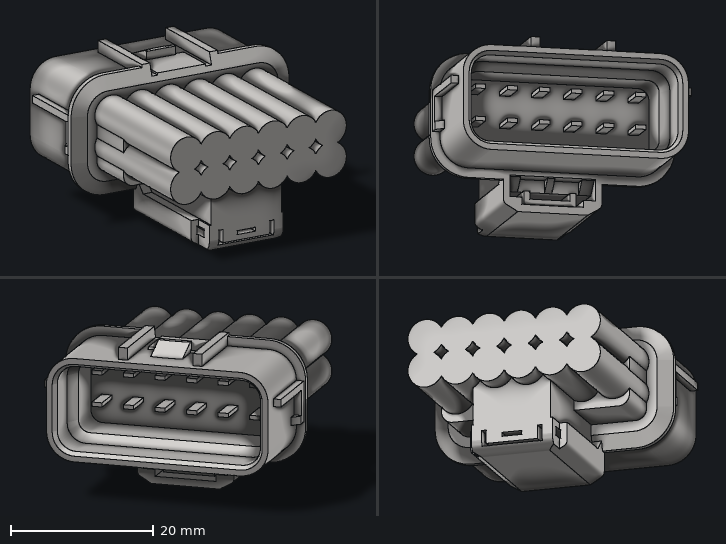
import cadquery as cq
import math

total_length = 35.8
total_height = 22.75
shell_width = 32.7
shell_height = 15.07
shell_radius = 4.1

collar_width = 35.4
collar_offset = (collar_width - shell_width) / 2
collar_front = 13.03
collar_edge = 13.85
collar_rear = 14.6
collar_taper_inset = 2.22

rim_wall = 0.85
cavity_wall = 1.35
cavity_deep_wall = 2.4
lead_in_depth = 0.8
cavity_step_start = 5.35
cavity_step_end = 7.3
cavity_floor = collar_front

columns = 6
column_pitch = 4.65
row_centers = (3.33, -1.32)
pin_width = 1.5
pin_height = 0.6
pin_tip = 8.6
wire_radius = 2.65

block_rear = 22.05
block_half_width = 13.93
block_bottom = -5.12
block_radius = 1.6

rib_start = 1.43
rib_inner = 4.85
rib_outer = 6.15
rib_embedding = rim_wall / 2
top_height = 9.3
plate_start = 7.88
plate_half_width = 3.9
plate_thickness = 0.3
catch_front = 4.15
catch_peak = 7.75
catch_rear = 8.52
catch_width = 4.7
catch_height = 1.55
catch_arc_radius = 19.33

rail_outer = 17.45
rail_start = 2.55
rail_post_start = 12.03
rail_top = 3.35
rail_bar_bottom = 2.25
hook_top = -1.4
hook_bottom = -2.58
hook_tip = 10.55
hook_slope_end = 11.67

housing_bottom = top_height - total_height
housing_half_width = 7.15
housing_bevel_y = 5.1
housing_bevel_z = -12.2
housing_corner_radius = 0.9
housing_top = -9.1
housing_side_end = 29.3
housing_rear = 32.4
housing_rear_radius = 1.97
gusset_corner_x = 15.85
web_half_width = 5.73
tail_half_width = 6.0

passage_half_width = 4.48
passage_bottom = -12.3
passage_roof = -10.05
channel_half_width = 6.2
channel_bottom = -11.3
channel_end = 30.9
mouth_roof = -8.25
center_gusset_width = 1.07
pocket_half_width = 4.45

tongue_half_width = 3.8
tongue_bottom = -12.03
recess_half_width = 2.95
recess_bottom = -11.2
window_half_width = 1.45
window_roof = -10.65
recess_slope_bottom = -10.95
recess_slope_ratio = 0.6


def box(x0, x1, y0, y1, z0, z1):
    """Axis-aligned block between two opposite corners."""
    return cq.Workplane("XY").box(x1 - x0, y1 - y0, z1 - z0, centered=False).translate((x0, y0, z0))


def centered_box(x0, x1, half_width, z0, z1):
    """Block that is symmetric about the XZ plane."""
    return box(x0, x1, -half_width, half_width, z0, z1)


def side_prism(points, y0, y1):
    """Extrude an XZ outline between two Y positions."""
    return cq.Workplane("XZ", origin=(0, y0, 0)).polyline(points).close().extrude(y0 - y1)


def shell_outline(x, offset):
    """Rounded shell outline grown by offset, placed at x."""
    outline = cq.Sketch().rect(shell_width + 2 * offset, shell_height + 2 * offset)
    outline = outline.vertices().fillet(shell_radius + offset)
    return cq.Workplane("YZ", origin=(x, 0, 0)).placeSketch(outline)


def straight_shell(x0, x1, offset):
    return shell_outline(x0, offset).extrude(x1 - x0)


def tapered_shell(x0, x1, offset0, offset1):
    """Extrude the shell outline with a draft so that it ends at offset1."""
    angle = math.degrees(math.atan2(offset0 - offset1, x1 - x0))
    return shell_outline(x0, offset0).extrude(x1 - x0, taper=angle)


def make_cavity():
    cavity = tapered_shell(0, lead_in_depth, -rim_wall, -cavity_wall)
    cavity = cavity.union(straight_shell(lead_in_depth, cavity_step_start, -cavity_wall))
    cavity = cavity.union(tapered_shell(cavity_step_start, cavity_step_end, -cavity_wall, -cavity_deep_wall))
    return cavity.union(straight_shell(cavity_step_end, cavity_floor, -cavity_deep_wall))


def column_positions():
    return [(i - (columns - 1) / 2) * column_pitch for i in range(columns)]


def contact_points():
    return [(y, z) for y in column_positions() for z in row_centers]


def make_pins():
    return (
        cq.Workplane("YZ", origin=(pin_tip, 0, 0))
        .pushPoints(contact_points())
        .rect(pin_width, pin_height)
        .extrude(collar_edge - pin_tip)
    )


def make_wires():
    wires = None
    for y, z in contact_points():
        wire = (
            cq.Workplane("YZ", origin=(collar_edge, y, z))
            .circle(wire_radius)
            .extrude(total_length - collar_edge)
        )
        wires = wire if wires is None else wires.union(wire)
    return wires


def make_wire_block():
    block = centered_box(collar_edge, block_rear, block_half_width, block_bottom, row_centers[0])
    return block.edges("|X and <Z").fillet(block_radius)


def taper_x(z):
    """X of the collar's upper taper plane at height z."""
    slope = (collar_rear - collar_edge) / collar_taper_inset
    return collar_edge + slope * (shell_height / 2 + collar_offset - z)


def make_top_ribs():
    z0 = shell_height / 2 - rib_embedding
    outline = [
        (rib_start, z0),
        (rib_start, top_height),
        (taper_x(top_height), top_height),
        (taper_x(z0), z0),
    ]
    return side_prism(outline, rib_inner, rib_outer).union(side_prism(outline, -rib_outer, -rib_inner))


def make_plate():
    z0 = shell_height / 2
    z1 = z0 + plate_thickness
    outline = [(plate_start, z0), (plate_start + plate_thickness, z1), (taper_x(z1), z1), (taper_x(z0), z0)]
    return side_prism(outline, -plate_half_width, plate_half_width)


def make_catch():
    """Ramped catch whose sloping face is part of a cone about a vertical axis."""
    z0 = shell_height / 2
    axis_x = catch_front + catch_arc_radius
    peak_radius = axis_x - catch_peak
    inner_radius = peak_radius / 2
    cone = (
        cq.Workplane("XZ")
        .polyline([
            (inner_radius, z0),
            (catch_arc_radius, z0),
            (peak_radius, z0 + catch_height),
            (inner_radius, z0 + catch_height),
        ])
        .close()
        .revolve(360, (0, 0, 0), (0, 1, 0))
        .translate((axis_x, 0, 0))
    )
    return cone.intersect(centered_box(catch_front, catch_rear, catch_width / 2, z0, top_height))


def make_rail():
    """Bar, post and pointed hook on the -Y end of the shell."""
    shell_side = -shell_width / 2
    bar = box(rail_start, collar_edge, -rail_outer, shell_side, rail_bar_bottom, rail_top)
    post = box(rail_post_start, collar_edge, -rail_outer, shell_side, hook_bottom, rail_top)
    hook = (
        cq.Workplane("XY", origin=(0, 0, hook_bottom))
        .polyline([
            (hook_tip, shell_side),
            (hook_slope_end, -rail_outer),
            (collar_edge, -rail_outer),
            (collar_edge, shell_side),
        ])
        .close()
        .extrude(hook_top - hook_bottom)
    )
    return bar.union(post).union(hook)


def bevelled_profile(x0, x1, top):
    """Housing cross-section with bevelled lower corners, extruded along X."""
    points = [
        (housing_half_width, top),
        (housing_half_width, housing_bevel_z),
        (housing_bevel_y, housing_bottom),
        (-housing_bevel_y, housing_bottom),
        (-housing_half_width, housing_bevel_z),
        (-housing_half_width, top),
    ]
    profile = cq.Workplane("YZ", origin=(x0, 0, 0)).polyline(points).close().extrude(x1 - x0)
    return profile.edges("|X").edges("<Y or >Y").edges("<Z").fillet(housing_corner_radius)


def make_housing():
    web_top = row_centers[1] - wire_radius / 2
    gusset_top = housing_top + gusset_corner_x - collar_edge
    side_outline = [
        (collar_front, housing_bottom),
        (collar_front, gusset_top),
        (collar_edge, gusset_top),
        (gusset_corner_x, housing_top),
        (housing_side_end, housing_top),
        (housing_side_end, housing_bottom),
    ]
    sides = side_prism(side_outline, -housing_half_width, housing_half_width)
    web = centered_box(collar_edge, housing_rear, web_half_width, housing_top, web_top)
    tail = centered_box(collar_edge, housing_rear, tail_half_width, housing_bottom, housing_top)
    tail = tail.edges(">X and <Z").fillet(housing_rear_radius)
    return sides.union(web).union(tail).intersect(bevelled_profile(collar_front, housing_rear, web_top))


def make_mouth():
    """Space under the sloping front of the passage roof, with three gussets left standing."""
    ramp_end = collar_edge + mouth_roof - passage_roof
    gusset_zone = [
        (collar_front, passage_roof),
        (collar_front, mouth_roof),
        (collar_edge, mouth_roof),
        (ramp_end, passage_roof),
    ]
    mouth = side_prism(gusset_zone, -channel_half_width, channel_half_width)
    for side in (-1, 1):
        inner, outer = sorted((side * center_gusset_width / 2, side * pocket_half_width))
        mouth = mouth.union(box(collar_front, ramp_end, inner, outer, passage_roof, mouth_roof))
    return mouth


def make_passages():
    central = centered_box(collar_front, housing_rear, passage_half_width, passage_bottom, passage_roof)
    channels = centered_box(collar_front, channel_end, channel_half_width, channel_bottom, passage_roof)
    return central.union(channels).union(make_mouth())


def make_tongue():
    """Lock tongue with a recess that narrows to a window at its rear."""
    slope_start = housing_side_end
    corner_end = slope_start + recess_slope_ratio * (passage_roof - recess_slope_bottom)
    window_start = slope_start + recess_slope_ratio * (passage_roof - window_roof)
    tongue = centered_box(collar_rear, housing_rear, tongue_half_width, tongue_bottom, passage_roof)
    recess = centered_box(collar_rear, slope_start, recess_half_width, recess_bottom, passage_roof)
    corner_slope = [
        (slope_start, recess_bottom),
        (slope_start, passage_roof),
        (corner_end, recess_slope_bottom),
        (corner_end, recess_bottom),
    ]
    window = [
        (slope_start, recess_bottom),
        (slope_start, passage_roof),
        (window_start, window_roof),
        (housing_rear, window_roof),
        (housing_rear, recess_bottom),
    ]
    recess = recess.union(side_prism(corner_slope, -recess_half_width, recess_half_width))
    recess = recess.union(side_prism(window, -window_half_width, window_half_width))
    return tongue.cut(recess)


collar = straight_shell(collar_front, collar_edge, collar_offset)
collar = collar.union(
    tapered_shell(collar_edge, collar_rear, collar_offset, collar_offset - collar_taper_inset)
)
collar = collar.cut(centered_box(collar_front, collar_rear, rib_inner, shell_height / 2, top_height))
shell = straight_shell(0, collar_edge, 0).union(collar)

rail = make_rail()
result = shell.union(make_wire_block()).union(make_wires()).union(make_housing())
result = result.cut(make_cavity()).cut(make_passages()).union(make_tongue())
result = result.union(make_pins()).union(make_top_ribs()).union(make_plate()).union(make_catch())
result = result.union(rail).union(rail.mirror("XZ"))